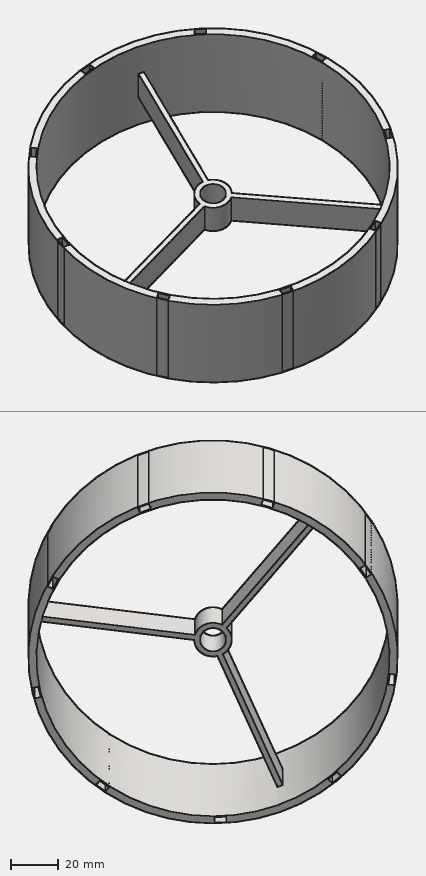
import cadquery as cq

rim_radius = 78.5
rim_wall = 3.5
rim_height = 50.0
rim_inner_radius = rim_radius - rim_wall

pocket_count = 9
pocket_width = 5.0
pocket_skin = 0.5
pocket_depth = rim_wall - 2 * pocket_skin

hub_radius = 8.0
bore_radius = 5.5
hub_height = 15.0
hub_base = (rim_height - hub_height) / 2
spoke_count = 3
spoke_width = 2.5
first_spoke_angle = 20.0


def tube(outer_radius, inner_radius, height, base=0):
    return cq.Workplane("XY", origin=(0, 0, base)).circle(outer_radius).circle(inner_radius).extrude(height)


def pockets():
    """Radially oriented rectangular holes centred in the rim wall."""
    return (
        cq.Workplane("XY")
        .polarArray((rim_radius + rim_inner_radius) / 2, 0, 360, pocket_count)
        .rect(pocket_depth, pocket_width)
        .extrude(rim_height)
    )


def spoke(angle):
    """Bar from inside the hub wall to inside the rim wall."""
    start = (hub_radius + bore_radius) / 2
    end = rim_inner_radius + rim_wall / 2
    return (
        cq.Workplane("XY", origin=(0, 0, hub_base))
        .center((start + end) / 2, 0)
        .rect(end - start, spoke_width)
        .extrude(hub_height)
        .rotate((0, 0, 0), (0, 0, 1), angle)
    )


result = tube(rim_radius, rim_inner_radius, rim_height).cut(pockets())
result = result.union(tube(hub_radius, bore_radius, hub_height, hub_base))
for i in range(spoke_count):
    result = result.union(spoke(first_spoke_angle + i * 360 / spoke_count))